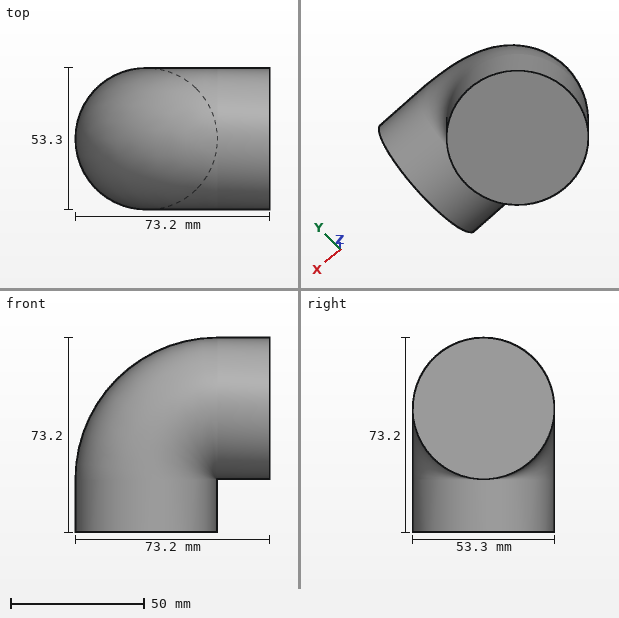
import cadquery as cq

overall_length = 73.15
outer_diameter = 53.3
inner_bend_radius = 0.1

outer_radius = outer_diameter / 2
bend_radius = outer_radius + inner_bend_radius
leg_length = overall_length - bend_radius - outer_radius

lower_end = (-bend_radius, -leg_length)
side_end = (leg_length, bend_radius)
centre_line = (
    cq.Workplane("XZ")
    .moveTo(*lower_end)
    .lineTo(-bend_radius, 0)
    .radiusArc((0, bend_radius), bend_radius)
    .lineTo(*side_end)
)

lower_end_plane = cq.Plane(origin=(-bend_radius, 0, -leg_length), xDir=(-1, 0, 0), normal=(0, 0, 1))
section = cq.Workplane(lower_end_plane).circle(outer_radius)

result = section.sweep(centre_line)